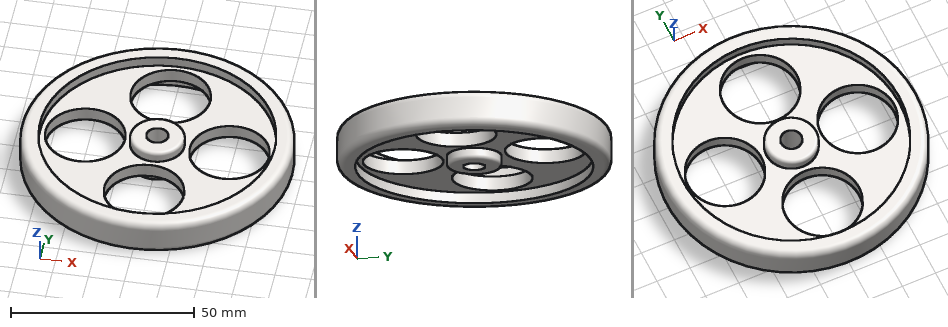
import cadquery as cq

outer_diameter = 75.0
rim_inner_diameter = 65.0
rim_width = 10.0
rim_fillet = 2.0

web_thickness = 4.0
window_diameter = 22.0
window_pitch_radius = 20.0
window_count = 4

hub_diameter = 15.0
hub_length = rim_width
hub_fillet = 1.0
bore_diameter = 6.0


def centred_disc(diameter, thickness):
    """Disc about the Z axis, centred on the XY plane."""
    return (
        cq.Workplane("XY")
        .workplane(offset=-thickness / 2)
        .circle(diameter / 2)
        .extrude(thickness)
    )


def make_rim():
    """Ring with rounded outer edges and a plain inner wall."""
    disc = centred_disc(outer_diameter, rim_width).edges("%CIRCLE").fillet(rim_fillet)
    return disc.cut(centred_disc(rim_inner_diameter, rim_width))


def make_hub():
    """Central boss with rounded ends."""
    return centred_disc(hub_diameter, hub_length).edges("%CIRCLE").fillet(hub_fillet)


def make_windows():
    """Round lightening holes spaced evenly about the axis."""
    return (
        cq.Workplane("XY")
        .workplane(offset=-web_thickness / 2)
        .polarArray(window_pitch_radius, 0, 360, window_count)
        .circle(window_diameter / 2)
        .extrude(web_thickness)
    )


web_diameter = (outer_diameter + rim_inner_diameter) / 2
web = centred_disc(web_diameter, web_thickness).cut(make_windows())
bore = centred_disc(bore_diameter, hub_length)

result = make_rim().union(web).union(make_hub()).cut(bore)